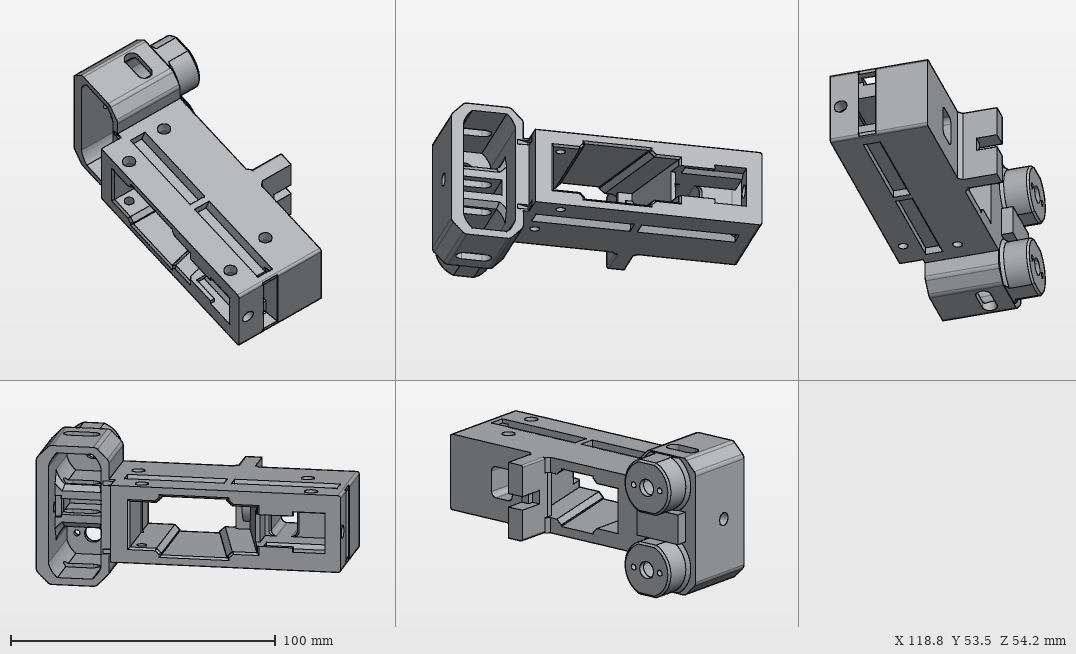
import cadquery as cq
import math


total_length = 118.8
total_depth = 53.5
total_height = 54.2
back_y = 38.5
joint_overlap = 1.2

head_length = 28.0
head_front_y = 9.3
head_chamfer = 5.1
head_edge_radius = 2.4
motor_x = 14.8
motor_z = 16.3
pocket_radius = 10.5
pocket_half_flat = 16.0 / 2
pocket_half_width = 20.3 / 2
pocket_floor_y = 23.0

cup_radius = 22.2 / 2
cup_half_flat = 20.8 / 2
cup_end_y = 49.6
cup_edge_chamfer = 0.8
cup_flare = 1.3
cup_end_wall = 2.4
cup_lead_in = 2.1
shaft_hole = 6.6
motor_screw_hole = 2.3
motor_screw_offset = 6.3

bridge_back_y = 43.1
bridge_half_width = 10.0
wire_recess_floor_y = 40.8
wire_notch_depth = 1.2
wire_recess_half_height = 3.1
wire_recess_x = (7.0, 23.3)
wire_notch_half_height = 4.2

vent_length = 13.8
vent_width = 5.8
vent_x = 13.8
vent_y = 29.2
side_hole_y = 21.5

screw_hole = 3.7
screw_hole_mouth = 5.0
screw_mouth_depth = 3.6
blind_screw_depth = 6.5
through_screws = [(36.5, 24.8), (41.5, 4.9)]
blind_screws = [(101.5, 24.8), (106.5, 4.9)]

body_start_x = 30.3
body_height = 29.9
body_end_radius = 1.1

opening_left_x = 37.6
opening_right_x = 86.6
opening_half_height = 8.9
wide_half_height = 11.4
wide_step_half_height = 10.8
wide_left = (47.9, 49.8)
wide_right = (75.0, 77.2)
opening_lean = 10.0
opening_chamfer = 0.8
rear_lip_x = 71.7
rear_lip_thickness = 2.4
guide_start_x = 74.7
guide_radius = 7.2
guide_y = 40.4

channel_half_height = 6.2
channel_end_x = 112.7
channel_ledge_x = 84.8
channel_ledge_y = 6.4
channel_floor_y = 17.0
recess_start_x = 100.3
recess_half_height = 7.8
recess_depth = 5.2
groove_start_x = 89.1
groove_front_y = 1.8
rear_window_x = (88.8, 98.8)
rear_window_radius = 2.1
rear_window_lead_in = 0.8
rear_window_chamfer = 0.7
end_hole = 5.0
end_hole_y = 4.2

strap_y = (11.3, 18.0)
strap_slots_x = [(33.5, 71.8), (74.7, 115.3)]
strap_slot_depth = 3.0
strap_slot_slope = 1.5
strap_window_inner_y = 7.4
strap_window_ramp_x = 111.4
strap_window_half_height = 13.3
strap_end_groove = 0.4

tie_radius = 4.6
tie_depth = 1.8
tie_width = 1.8
tie_z = 13.3

tab_x = (71.8, 78.6)
tab_flare = 1.5
tab_edge_radius = 0.7
tab_slot_width = 5.3
tab_slot_floor_y = 45.5
tab_notch_floor_y = 43.1


def block(x_range, y_range, half_height):
    """Box centred on mid height."""
    length = x_range[1] - x_range[0]
    depth = y_range[1] - y_range[0]
    return (
        cq.Workplane("XY")
        .box(length, depth, 2 * half_height, centered=(False, False, True))
        .translate((x_range[0], y_range[0], 0))
    )


def facing_back(y):
    """Sketch plane with local x = X, local y = -Z, extruding towards +Y."""
    return cq.Workplane("XZ", origin=(0, y, 0)).transformed(rotate=(180, 0, 0))


def rod_y(x, z, diameter, start_y, end_y):
    return facing_back(start_y).center(x, -z).circle(diameter / 2).extrude(end_y - start_y)


def pocket_disc(z, start_y, end_y):
    """Round pocket about a motor axis, trimmed by flats at the sides, above and below."""
    disc = rod_y(motor_x, z, 2 * pocket_radius, start_y, end_y)
    trim_x = (motor_x - pocket_half_width, motor_x + pocket_half_width)
    return disc.intersect(block(trim_x, (start_y, end_y), pocket_half_flat).translate((0, 0, z)))


def cone_y(x, z, diameter, start_y, length):
    """Cone narrowing at 45 degrees towards +Y."""
    return facing_back(start_y).center(x, -z).circle(diameter / 2).extrude(length, taper=45)


def make_cup(z):
    """Round motor cup with flats above and below, a chamfered end and a flared base."""
    rod = rod_y(motor_x, z, 2 * cup_radius, back_y, cup_end_y).faces(">Y").chamfer(cup_edge_chamfer)
    flare_radius = cup_radius + cup_flare
    rod = rod.union(cone_y(motor_x, z, 2 * flare_radius, back_y, cup_flare))
    trim_x = (motor_x - flare_radius, motor_x + flare_radius)
    trim = block(trim_x, (back_y, cup_end_y), cup_half_flat)
    trim = trim.faces(">Y").edges("|X").chamfer(cup_edge_chamfer)
    return rod.intersect(trim.translate((0, 0, z)))


def screw_cutter(depth):
    """Hole going down from the origin, with a mouth that narrows gradually to the shaft."""
    shaft = cq.Workplane("XY").circle(screw_hole / 2).extrude(-depth)
    mouth = cq.Solid.makeCone(
        screw_hole_mouth / 2, screw_hole / 2, screw_mouth_depth, cq.Vector(0, 0, 0), cq.Vector(0, 0, -1)
    )
    return shaft.union(cq.Workplane(mouth))


def make_head():
    head = (
        block((0, head_length), (head_front_y, back_y), total_height / 2)
        .edges("|Y").chamfer(head_chamfer)
        .edges("|Y").fillet(head_edge_radius)
    )
    bridge_x = (motor_x - bridge_half_width, motor_x + bridge_half_width)
    bridge_half_height = motor_z - cup_half_flat
    head = head.union(block(bridge_x, (back_y - joint_overlap, bridge_back_y), bridge_half_height))
    for z in (motor_z, -motor_z):
        head = head.union(make_cup(z))
    return head


def make_head_pocket():
    pocket = block(
        (motor_x - pocket_half_width, motor_x + pocket_half_width),
        (head_front_y, pocket_floor_y),
        motor_z,
    )
    for z in (motor_z, -motor_z):
        pocket = pocket.union(pocket_disc(z, head_front_y, pocket_floor_y))
    return pocket


def make_cup_cavity(z):
    """Inside of a cup, with a sloped lead-in on the side facing mid height."""
    cavity = pocket_disc(z, pocket_floor_y, cup_end_y - cup_end_wall)
    inward = -math.copysign(1, z)
    flat_z = z + inward * pocket_half_flat
    lead_in_end_y = pocket_floor_y + cup_lead_in
    wedge = (
        cq.Workplane("YZ", origin=(motor_x - pocket_half_width, 0, 0))
        .polyline([
            (pocket_floor_y, z),
            (pocket_floor_y, flat_z + inward * cup_lead_in),
            (lead_in_end_y, flat_z),
            (lead_in_end_y, z),
        ])
        .close()
        .extrude(2 * pocket_half_width)
    )
    lead_in = cone_y(motor_x, z, 2 * (pocket_radius + cup_lead_in), pocket_floor_y, cup_lead_in)
    return cavity.union(lead_in.intersect(wedge))


def cut_motor_mounts(part):
    part = part.cut(make_head_pocket())
    for z in (motor_z, -motor_z):
        part = part.cut(make_cup_cavity(z))
        part = part.cut(rod_y(motor_x, z, shaft_hole, back_y, cup_end_y))
        for side in (-1, 1):
            screw_x = motor_x + side * motor_screw_offset
            part = part.cut(rod_y(screw_x, z, motor_screw_hole, back_y, cup_end_y))
    recess_y = (pocket_floor_y, wire_recess_floor_y)
    notch_x = (motor_x - pocket_half_width, wire_recess_x[0])
    notch_y = (pocket_floor_y, pocket_floor_y + wire_notch_depth)
    part = part.cut(block(wire_recess_x, recess_y, wire_recess_half_height))
    return part.cut(block(notch_x, notch_y, wire_notch_half_height))


def cut_head_openings(part):
    vents = (
        cq.Workplane("XY", origin=(vent_x, vent_y, -total_height / 2))
        .slot2D(vent_length, vent_width)
        .extrude(total_height)
    )
    side_hole = screw_cutter(motor_x).rotate((0, 0, 0), (0, 1, 0), -90).translate((0, side_hole_y, 0))
    return part.cut(vents).cut(side_hole)


def make_body():
    body = block((body_start_x, total_length), (0, back_y), body_height / 2)
    body = body.faces(">X").edges("|Y").fillet(body_end_radius)
    neck_x = (head_length - joint_overlap, body_start_x + joint_overlap)
    neck = block(neck_x, (head_front_y, back_y), body_height / 2)
    return body.union(neck)


def make_tab():
    tab = block(tab_x, (back_y - joint_overlap, total_depth), body_height / 2)
    tab = tab.edges("|Y and <X").fillet(tab_edge_radius)
    flare = (
        cq.Workplane("XY", origin=(0, 0, -body_height / 2))
        .polyline([
            (tab_x[0] - tab_flare, back_y),
            (tab_x[0], back_y + tab_flare),
            (tab_x[1], back_y + tab_flare),
            (tab_x[1] + tab_flare, back_y),
        ])
        .close()
        .extrude(body_height)
    )
    slot = block(tab_x, (tab_slot_floor_y, total_depth), tab_slot_width / 2)
    middle_x = (tab_x[0] + tab_x[1]) / 2
    notch = block((tab_x[0], middle_x), (tab_notch_floor_y, tab_slot_floor_y), tab_slot_width / 2)
    flare_gap = block((tab_x[0] - tab_flare, tab_x[0]), (back_y, back_y + tab_flare), opening_half_height)
    return tab.union(flare.cut(flare_gap)).cut(slot).cut(notch)


def opening_outline(lean):
    """Half outline above mid height, mirrored below; the right side is shifted left by lean."""
    upper = [
        (opening_left_x, opening_half_height),
        (wide_left[0], opening_half_height),
        (wide_left[1], wide_step_half_height),
        (wide_left[1], wide_half_height),
        (wide_right[0] - lean, wide_half_height),
        (wide_right[0] - lean, wide_step_half_height),
        (wide_right[1] - lean, opening_half_height),
        (opening_right_x - lean, opening_half_height),
    ]
    return upper + [(x, -z) for x, z in reversed(upper)]


def cut_main_opening(part):
    """Leaning through opening, keeping a rear lip and a round guide on its right side."""
    front = opening_outline(0)
    opening = (
        facing_back(0).polyline(front).close()
        .workplane(offset=back_y).polyline(opening_outline(opening_lean)).close()
        .loft(ruled=True)
    )
    mouth = (
        facing_back(0).polyline(front).close().offset2D(opening_chamfer, "intersection")
        .extrude(opening_chamfer, taper=45)
    )
    lip = block((rear_lip_x, opening_right_x), (back_y - rear_lip_thickness, back_y), wide_half_height)
    guide = (
        cq.Workplane("YZ", origin=(guide_start_x, guide_y, 0))
        .circle(guide_radius)
        .extrude(opening_right_x - guide_start_x)
        .intersect(block((guide_start_x, opening_right_x), (0, back_y), guide_radius))
    )
    return part.cut(opening.cut(lip).cut(guide)).cut(mouth)


def make_channel_recess(start_x, front_y):
    """Widening of the channel above and below, sloping back to the channel at its rear."""
    slope_end_y = recess_depth + recess_half_height - channel_half_height
    upper = [
        (front_y, recess_half_height),
        (recess_depth, recess_half_height),
        (slope_end_y, channel_half_height),
    ]
    lower = [(y, -z) for y, z in reversed(upper)]
    return (
        cq.Workplane("YZ", origin=(start_x, 0, 0))
        .polyline(upper + lower).close()
        .extrude(channel_end_x - start_x)
    )


def cut_channel(part):
    channel = block((opening_right_x, channel_end_x), (0, channel_floor_y), channel_half_height)
    ledge = block((channel_ledge_x, opening_right_x), (0, channel_ledge_y), channel_half_height)
    recess = make_channel_recess(recess_start_x, 0)
    groove = make_channel_recess(groove_start_x, groove_front_y)
    window = block(rear_window_x, (channel_floor_y, back_y), channel_half_height)
    window = window.edges("|Y").fillet(rear_window_radius)
    lead_in_x = (rear_window_x[0] - rear_window_lead_in, rear_window_x[1] + rear_window_lead_in)
    lead_in = (
        block(lead_in_x, (channel_floor_y, channel_floor_y + rear_window_lead_in), channel_half_height)
        .edges("|Y").fillet(rear_window_radius)
        .faces(">Y").edges("|Z").chamfer(rear_window_chamfer)
    )
    hole = (
        cq.Workplane("YZ", origin=(channel_end_x, end_hole_y, 0))
        .circle(end_hole / 2)
        .extrude(total_length - channel_end_x)
    )
    for cutter in (channel, ledge, recess, groove, window, lead_in, hole):
        part = part.cut(cutter)
    return part


def make_strap_slot(start_x, end_x):
    """Slot in the top of the body with a sloped rear wall."""
    top = body_height / 2
    return (
        cq.Workplane("YZ", origin=(start_x, 0, 0))
        .polyline([
            (strap_y[0], top),
            (strap_y[0], top - strap_slot_depth),
            (strap_y[1] - strap_slot_slope, top - strap_slot_depth),
            (strap_y[1], top),
        ])
        .close()
        .extrude(end_x - start_x)
    )


def cut_strap_path(part):
    """Slots above and below, joined to a window and a shallow groove in the end wall."""
    for start_x, end_x in strap_slots_x:
        lower_end_x = min(end_x, channel_end_x)
        part = part.cut(make_strap_slot(start_x, end_x))
        part = part.cut(make_strap_slot(start_x, lower_end_x).mirror("XY"))
    window = (
        cq.Workplane("XY", origin=(0, 0, -strap_window_half_height))
        .polyline([
            (channel_end_x, strap_window_inner_y),
            (total_length, strap_y[0]),
            (total_length, strap_y[1]),
            (strap_window_ramp_x, channel_floor_y),
            (channel_end_x, channel_floor_y),
        ])
        .close()
        .extrude(2 * strap_window_half_height)
    )
    groove = block((total_length - strap_end_groove, total_length), strap_y, body_height / 2)
    return part.cut(window).cut(groove)


def cut_body_screws(part):
    top = body_height / 2
    for x, y in through_screws:
        part = part.cut(screw_cutter(body_height).translate((x, y, top)))
    for x, y in blind_screws:
        part = part.cut(screw_cutter(blind_screw_depth).translate((x, y, top)))
    return part


def cut_tie_grooves(part):
    """Short grooves rounding the inner corner where the body meets the head."""
    for z in (tie_z, -tie_z):
        groove = (
            cq.Workplane("XY", origin=(body_start_x, head_front_y, z - tie_width / 2))
            .moveTo(0, -tie_radius)
            .radiusArc((tie_radius, 0), tie_radius)
            .lineTo(0, tie_depth)
            .lineTo(-tie_radius, 0)
            .close()
            .extrude(tie_width)
        )
        part = part.cut(groove)
    return part


result = make_head().union(make_body())
result = cut_main_opening(result)
result = cut_channel(result)
result = cut_motor_mounts(result)
result = cut_head_openings(result)
result = result.union(make_tab())
result = cut_body_screws(result)
result = cut_strap_path(result)
result = cut_tie_grooves(result)